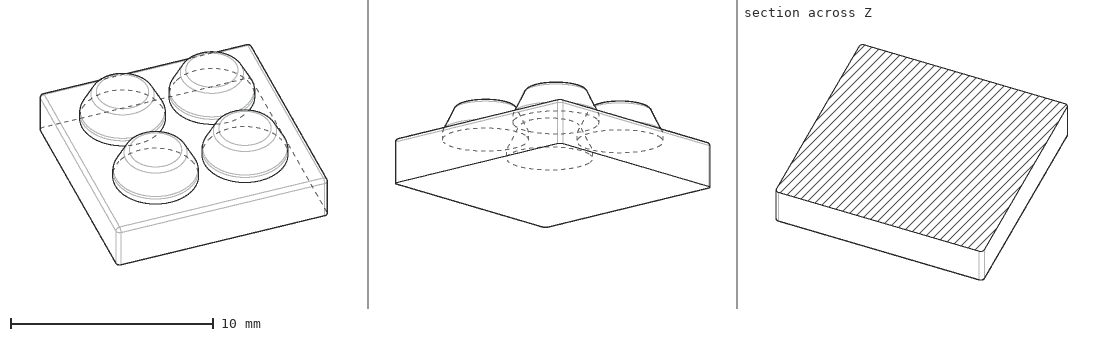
import cadquery as cq

plate_side = 11.1
plate_height = 2.3
plate_edge_radius = 0.2

total_height = 4.0
stud_pitch = 4.7
studs_per_side = 2
stud_diameter = 4.24
stud_top_diameter = 2.95
stud_rim_height = 0.4
shoulder_radius = 0.3
crown_radius = 0.3


def make_plate():
    """Plate with rounded vertical edges and a rounded top rim."""
    plate = cq.Workplane("XY").box(plate_side, plate_side, plate_height, centered=(True, True, False))
    return plate.edges("|Z or >Z").fillet(plate_edge_radius)


def make_studs():
    """Short cylindrical rims carrying truncated cones, with softened shoulders and crowns."""
    stud_height = total_height - plate_height
    stud = (
        cq.Workplane("XZ")
        .lineTo(stud_diameter / 2, 0)
        .lineTo(stud_diameter / 2, stud_rim_height)
        .lineTo(stud_top_diameter / 2, stud_height)
        .lineTo(0, stud_height)
        .close()
        .revolve(360, (0, 0, 0), (0, 1, 0))
    )
    stud = stud.faces(">Z").edges().fillet(crown_radius)
    stud = stud.edges("%CIRCLE").edges(cq.selectors.NearestToPointSelector((0, 0, stud_rim_height)))
    stud = stud.fillet(shoulder_radius)
    return (
        cq.Workplane("XY", origin=(0, 0, plate_height))
        .rarray(stud_pitch, stud_pitch, studs_per_side, studs_per_side)
        .eachpoint(stud.val(), combine=False)
    )


result = make_plate().union(make_studs())